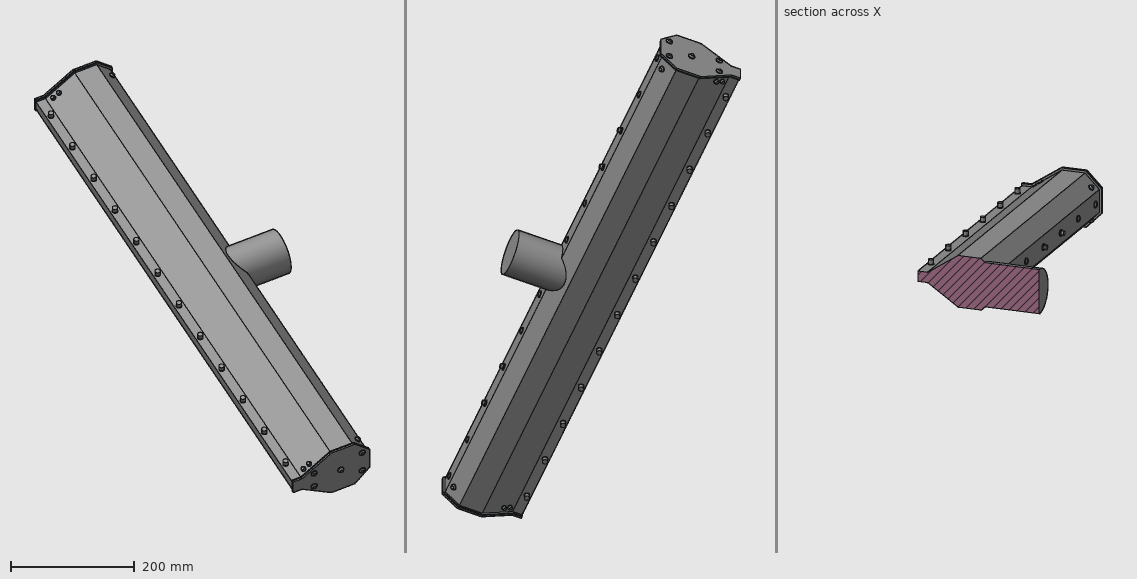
import cadquery as cq


TOTAL_LENGTH = 932.49
TOTAL_DEPTH = 211.04
TOTAL_HEIGHT = 96.53

BODY_LENGTH = 914.4
BODY_HALF_HEIGHT = 44.5
FLANGE_HALF_HEIGHT = 9.2
FLANGE_DEPTH = 16.9
SLOPE_END_Y = 69.8
CHAMFER_START_Y = 109.6
BODY_DEPTH = 134.5
BACK_HALF_HEIGHT = BODY_HALF_HEIGHT - (BODY_DEPTH - CHAMFER_START_Y)

PLATE_THICKNESS = 4.76
FRONT_OVERHANG = 0.3
PLATE_MARGIN = TOTAL_HEIGHT / 2 - BODY_HALF_HEIGHT
GASKET_THICKNESS = 1.6
GASKET_INSET = 0.2
PLATE_OUTER_X = BODY_LENGTH / 2 + PLATE_THICKNESS

PIPE_DIAMETER = 76.2
PIPE_START_Y = SLOPE_END_Y
PIPE_END_Y = TOTAL_DEPTH - FRONT_OVERHANG

SCREW_PITCH = 76.2
EMBED = 1.0
FLANGE_SCREW_COUNT = 12
FLANGE_SCREW_Y = 7.6
FLANGE_SCREW_DIAMETER = 8.5
FLANGE_SCREW_HEIGHT = 8.5

BACK_SCREWS_PER_SIDE = 6
BACK_SCREW_FIRST_X = 0.75 * SCREW_PITCH
STUD_INDEXES = (2, 3)
STUD_DIAMETER = 7.6
STUD_HEIGHT = 6.5

BUTTON_DIAMETER = 10.5
BUTTON_HEIGHT = 3.3
BUTTON_TOP_RADIUS = 3.0

WASHER_OVERHANG = 0.25
WASHER_THICKNESS = 1.2

PLATE_SCREWS = ((37.1, 15.5), (124.2, 21.4))
CENTRE_SCREW_Y = 85.4
CENTRE_SCREW_HEIGHT = TOTAL_LENGTH / 2 - PLATE_OUTER_X

END_SCREW_X = 447.0
SLOPE_SCREW_Y = (26.5, 36.8)
SLOPE_SCREW_DIAMETER = 7.6
SLOPE_SCREW_HEIGHT = 4.6
CHAMFER_SCREW_X = 438.5
CHAMFER_SCREW_Y = 127.0
CHAMFER_SCREW_DIAMETER = 9.0


def body_profile():
    upper = [
        (0, FLANGE_HALF_HEIGHT),
        (FLANGE_DEPTH, FLANGE_HALF_HEIGHT),
        (SLOPE_END_Y, BODY_HALF_HEIGHT),
        (CHAMFER_START_Y, BODY_HALF_HEIGHT),
        (BODY_DEPTH, BACK_HALF_HEIGHT),
    ]
    lower = [(y, -z) for y, z in reversed(upper)]
    return upper + lower


def body():
    return cq.Workplane("YZ").polyline(body_profile()).close().extrude(BODY_LENGTH / 2, both=True)


def end_layer(margin, inner_x, thickness):
    """One flat layer across the +X end, trimmed near the front face."""
    layer = (
        cq.Workplane("YZ")
        .workplane(offset=inner_x)
        .polyline(body_profile())
        .close()
        .offset2D(margin, "intersection")
        .extrude(thickness)
    )
    front_trim = cq.Workplane("XY", origin=(0, -FRONT_OVERHANG, 0)).box(
        TOTAL_LENGTH, TOTAL_DEPTH, TOTAL_HEIGHT, centered=(True, False, True)
    )
    return layer.intersect(front_trim)


def end_cap():
    """Gasket and cover plate at the +X end."""
    gasket = end_layer(PLATE_MARGIN - GASKET_INSET, BODY_LENGTH / 2, GASKET_THICKNESS)
    cover = end_layer(
        PLATE_MARGIN, BODY_LENGTH / 2 + GASKET_THICKNESS, PLATE_THICKNESS - GASKET_THICKNESS
    )
    return gasket.union(cover)


def head(base, normal, diameter, height):
    """Plain round head standing on a face at `base`."""
    direction = cq.Vector(*normal).normalized()
    start = cq.Vector(*base) - direction * EMBED
    return cq.Solid.makeCylinder(diameter / 2, height + EMBED, start, direction)


def washer(base, normal, head_diameter):
    return head(base, normal, head_diameter + 2 * WASHER_OVERHANG, WASHER_THICKNESS)


def button(base, normal, diameter=BUTTON_DIAMETER, height=BUTTON_HEIGHT):
    """Tapered head on a round washer."""
    direction = cq.Vector(*normal).normalized()
    seat = cq.Vector(*base) + direction * WASHER_THICKNESS
    taper = cq.Solid.makeCone(
        diameter / 2, BUTTON_TOP_RADIUS, height - WASHER_THICKNESS, seat, direction
    )
    return washer(base, normal, diameter).fuse(taper)


def flange_screws():
    screws = []
    for index in range(FLANGE_SCREW_COUNT):
        x = (index - (FLANGE_SCREW_COUNT - 1) / 2) * SCREW_PITCH
        for up in (1, -1):
            base = (x, FLANGE_SCREW_Y, up * FLANGE_HALF_HEIGHT)
            screws.append(washer(base, (0, 0, up), FLANGE_SCREW_DIAMETER))
            screws.append(head(base, (0, 0, up), FLANGE_SCREW_DIAMETER, FLANGE_SCREW_HEIGHT))
    return screws


def back_screws():
    screws = []
    for index in range(BACK_SCREWS_PER_SIDE):
        for side in (1, -1):
            base = (side * (BACK_SCREW_FIRST_X + index * SCREW_PITCH), BODY_DEPTH, 0)
            screws.append(button(base, (0, 1, 0)))
            if index in STUD_INDEXES:
                screws.append(head(base, (0, 1, 0), STUD_DIAMETER, STUD_HEIGHT))
    return screws


def plate_screws():
    screws = []
    for side in (1, -1):
        x = side * PLATE_OUTER_X
        screws.append(button((x, CENTRE_SCREW_Y, 0), (side, 0, 0), height=CENTRE_SCREW_HEIGHT))
        for y, z in PLATE_SCREWS:
            for up in (1, -1):
                screws.append(button((x, y, up * z), (side, 0, 0)))
    return screws


def sloped_face_screws():
    slope = (BODY_HALF_HEIGHT - FLANGE_HALF_HEIGHT) / (SLOPE_END_Y - FLANGE_DEPTH)
    screws = []
    for side in (1, -1):
        for up in (1, -1):
            for y in SLOPE_SCREW_Y:
                z = FLANGE_HALF_HEIGHT + (y - FLANGE_DEPTH) * slope
                base = (side * END_SCREW_X, y, up * z)
                screws.append(button(base, (0, -slope, up), SLOPE_SCREW_DIAMETER, SLOPE_SCREW_HEIGHT))
            z = BODY_HALF_HEIGHT - (CHAMFER_SCREW_Y - CHAMFER_START_Y)
            base = (side * CHAMFER_SCREW_X, CHAMFER_SCREW_Y, up * z)
            screws.append(button(base, (0, 1, up), CHAMFER_SCREW_DIAMETER, SLOPE_SCREW_HEIGHT))
    return screws


def pipe():
    return (
        cq.Workplane("XZ", origin=(0, PIPE_START_Y, 0))
        .circle(PIPE_DIAMETER / 2)
        .extrude(-(PIPE_END_Y - PIPE_START_Y))
    )


cap = end_cap()
result = body().union(cap).union(cap.mirror("YZ")).union(pipe())
for screw in flange_screws() + back_screws() + plate_screws() + sloped_face_screws():
    result = result.union(cq.Workplane(obj=screw))